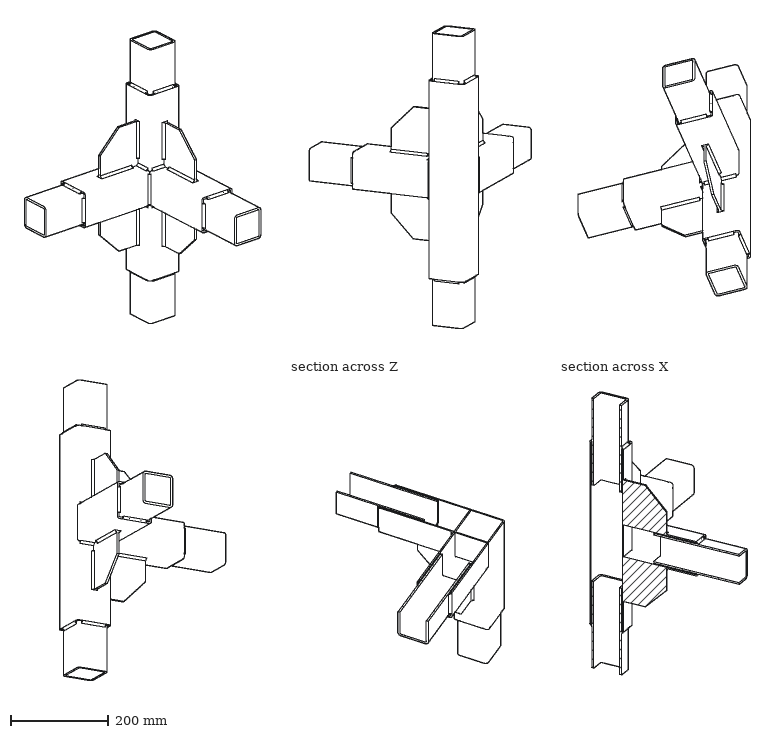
import cadquery as cq

fit_up_allowance = 0.2

sleeve_side = 80.0
sleeve_wall = 4.0
sleeve_outer_radius = 5.5
sleeve_inner_radius = sleeve_outer_radius - sleeve_wall
half_side = sleeve_side / 2
sleeve_flat = sleeve_side - 2 * sleeve_outer_radius
sleeve_reach = 170.0
column_height = sleeve_side + 2 * sleeve_reach
arm_sleeve_length = sleeve_reach + fit_up_allowance

insert_side = 70.0
insert_wall = 5.0
insert_outer_radius = 7.5
insert_inner_radius = insert_outer_radius - insert_wall
insert_flat = insert_side - 2 * insert_outer_radius
insert_exposed = 100.0
insert_depth = 100.0

gusset_side = 100.0 + fit_up_allowance
gusset_chamfer = 50.0
gusset_thickness = 5.0

weld_leg = 5.0
gusset_weld_setback = 17.0
gusset_weld_length = gusset_side - gusset_weld_setback

ORIGIN = (0, 0, 0)
Y_AXIS = (0, 1, 0)
Z_AXIS = (0, 0, 1)
QUARTER_TURN = 90


def square_tube(side, wall, outer_radius, inner_radius, length):
    """Square tube with rounded corners, standing on the XY plane and centred on Z."""
    bore_side = side - 2 * wall
    outside = cq.Workplane("XY").rect(side, side).extrude(length).edges("|Z").fillet(outer_radius)
    bore = cq.Workplane("XY").rect(bore_side, bore_side).extrude(length).edges("|Z").fillet(inner_radius)
    return outside.cut(bore)


def sleeve(length):
    return square_tube(sleeve_side, sleeve_wall, sleeve_outer_radius, sleeve_inner_radius, length)


def weld_bead(length):
    """Triangular bead centred on X, its right angle on the X axis, its legs along +Y and +Z."""
    section = cq.Workplane("YZ").polyline([(0, 0), (weld_leg, 0), (0, weld_leg)]).close()
    return section.extrude(length / 2, both=True)


def quarter_turns(shape):
    """Four copies of a shape, spaced evenly around the Z axis."""
    return [shape.rotate(ORIGIN, Z_AXIS, QUARTER_TURN * turn) for turn in range(4)]


def end_welds(sleeve_end):
    """Beads between the end face of an upright sleeve and the flats of its insert."""
    bead = weld_bead(insert_flat)
    return quarter_turns(bead.translate((0, insert_side / 2, sleeve_end)))


def root_welds():
    """Beads on the two sides of an upright arm's foot that stand clear of the other arm."""
    bead = weld_bead(sleeve_flat)
    side_bead = bead.rotate(ORIGIN, Z_AXIS, QUARTER_TURN).translate((-half_side, 0, half_side))
    return [side_bead, side_bead.mirror("YZ")]


def along_x(shape):
    """Lay an upright shape down so that +Z becomes +X."""
    return shape.rotate(ORIGIN, Y_AXIS, QUARTER_TURN)


def gusset():
    """Plate above the +X arm, with a bead on both sides of each welded edge."""
    outline = [
        (0, 0),
        (gusset_side, 0),
        (gusset_side, gusset_side - gusset_chamfer),
        (gusset_side - gusset_chamfer, gusset_side),
        (0, gusset_side),
    ]
    plate = cq.Workplane("XZ").polyline(outline).close().extrude(gusset_thickness / 2, both=True)
    bead_centre = gusset_weld_setback + gusset_weld_length / 2
    arm_bead = weld_bead(gusset_weld_length)
    arm_bead = arm_bead.translate((bead_centre, gusset_thickness / 2, 0))
    column_bead = arm_bead.mirror("XY").rotate(ORIGIN, Y_AXIS, -QUARTER_TURN)
    for bead in (arm_bead, column_bead):
        plate = plate.union(bead).union(bead.mirror("XZ"))
    return plate.translate((half_side, 0, half_side))


def arm():
    """Sleeve along +X with its welds and the gussets above and below it."""
    arm_end = half_side + arm_sleeve_length
    upright = sleeve(arm_sleeve_length).translate((0, 0, half_side))
    for bead in root_welds() + end_welds(arm_end):
        upright = upright.union(bead)
    upper_gusset = gusset()
    return along_x(upright).union(upper_gusset).union(upper_gusset.mirror("XY"))


def to_minus_y(shape):
    """Turn a shape from the +X arm onto the -Y arm."""
    return shape.rotate(ORIGIN, Z_AXIS, -QUARTER_TURN)


def inner_corner_weld():
    """Upright bead in the corner between the facing sides of the two arms."""
    section = [(0, 0), (weld_leg, 0), (0, -weld_leg)]
    bead = cq.Workplane("XY").polyline(section).close().extrude(sleeve_flat / 2, both=True)
    return bead.translate((half_side, -half_side, 0))


def housing():
    """Column and two arms, welded into one frame."""
    frame = sleeve(column_height).translate((0, 0, -column_height / 2))
    for bead in end_welds(column_height / 2):
        frame = frame.union(bead).union(bead.mirror("XY"))
    x_arm = arm()
    return frame.union(x_arm).union(to_minus_y(x_arm)).union(inner_corner_weld())


def insert(sleeve_end):
    """Upright insert, plugged into a sleeve that ends at the given height."""
    length = insert_depth + insert_exposed
    tube = square_tube(insert_side, insert_wall, insert_outer_radius, insert_inner_radius, length)
    return tube.translate((0, 0, sleeve_end - insert_depth))


column_insert = insert(column_height / 2)
arm_insert = along_x(insert(half_side + arm_sleeve_length))
inserts = [
    column_insert,
    column_insert.mirror("XY"),
    arm_insert,
    to_minus_y(arm_insert),
]

result = cq.Compound.makeCompound([housing().val()] + [tube.val() for tube in inserts])